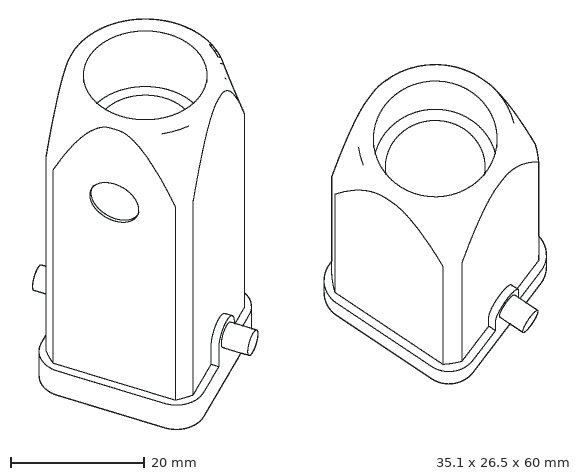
import cadquery as cq

height = 60
body_width = 24
body_corner_radius = 15.6
cone_base_height = 47.05
mouth_rounding = 0.55

flange_width = 26.5
flange_height = 5.3
flange_corner_radius = 4.5

pin_span = 35.1
pin_diameter = 4.0
pin_height = 9.3
lug_width = 6

bore_diameter = 15
entry_diameter = 18.6
entry_depth = 12

recess_diameter = 8.0
recess_height = 44.0
recess_depth = 0.5


def make_body():
    """Square body whose corners follow a cylinder, then a cone narrowing to the mouth."""
    mouth_radius = body_width / 2
    turned = (
        cq.Workplane("XZ")
        .moveTo(0, 0)
        .lineTo(body_corner_radius, 0)
        .lineTo(body_corner_radius, cone_base_height)
        .lineTo(mouth_radius, height)
        .lineTo(0, height)
        .close()
        .revolve(360, (0, 0, 0), (0, 1, 0))
        .faces(">Z")
        .edges()
        .fillet(mouth_rounding)
    )
    square = cq.Workplane("XY").rect(body_width, body_width).extrude(height)
    return turned.intersect(square)


def make_flange():
    """Square collar with round corners at the foot of the hood."""
    return (
        cq.Workplane("XY")
        .rect(flange_width, flange_width)
        .extrude(flange_height)
        .edges("|Z")
        .fillet(flange_corner_radius)
    )


def make_lugs():
    """Round-topped lugs on both sides, flush with the flange."""
    return (
        cq.Workplane("YZ")
        .moveTo(-lug_width / 2, 0)
        .lineTo(-lug_width / 2, pin_height)
        .threePointArc((0, pin_height + lug_width / 2), (lug_width / 2, pin_height))
        .lineTo(lug_width / 2, 0)
        .close()
        .extrude(flange_width / 2, both=True)
    )


def make_pins():
    """One round bar through both lugs forms the two pins."""
    return (
        cq.Workplane("YZ")
        .center(0, pin_height)
        .circle(pin_diameter / 2)
        .extrude(pin_span / 2, both=True)
    )


def make_cable_entry():
    """Through bore widened at the mouth."""
    bore = cq.Workplane("XY").circle(bore_diameter / 2).extrude(height)
    entry = cq.Workplane("XY", origin=(0, 0, height)).circle(entry_diameter / 2).extrude(-entry_depth)
    return bore.union(entry)


def make_marking_recess():
    """Shallow round pocket in the front face."""
    return (
        cq.Workplane("XZ", origin=(0, -body_width / 2, recess_height))
        .circle(recess_diameter / 2)
        .extrude(-recess_depth)
    )


hood = make_body().union(make_flange()).union(make_lugs()).union(make_pins())
result = hood.cut(make_cable_entry()).cut(make_marking_recess())